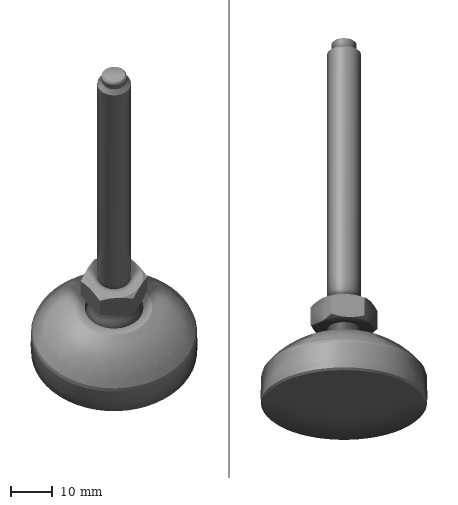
import cadquery as cq
import math


total_height = 96.2
pad_height = 2.5
wall_top = 7.2
dome_start = 8.1
base_height = 15.7
ball_top = 18.2
nut_bottom = 20.1
nut_height = 6.1
nut_top = nut_bottom + nut_height
neck_top = 28.3

base_radius = 40.0 / 2
wall_radius = 19.9
floor_chamfer = 0.5
dome_edge_radius = 19.6
dome_mid_radius = 15.5
dome_mid_height = 12.2
flat_radius = 18.3 / 2

ball_radius = 14.0 / 2
neck_radius = 8.0 / 2
rod_radius = 8.1 / 2
tip_radius = 6.0 / 2
tip_length = 1.9
tip_chamfer = 0.4
rod_chamfer_height = 1.1

nut_across_flats = 13.95
nut_corner_diameter = nut_across_flats / math.cos(math.pi / 6)
nut_face_radius = nut_across_flats / 2
nut_chamfer_angle = math.radians(30)

ball_center = ball_top - math.sqrt(ball_radius**2 - neck_radius**2)


def make_base():
    """Domed base whose wall swells slightly at the pad joint, with a round socket
    in the top that matches the ball diameter."""
    base = (
        cq.Workplane("XZ")
        .moveTo(0, 0)
        .lineTo(wall_radius - floor_chamfer, 0)
        .lineTo(wall_radius, floor_chamfer)
        .lineTo(base_radius, pad_height)
        .lineTo(wall_radius, wall_top)
        .lineTo(dome_edge_radius, dome_start)
        .threePointArc((dome_mid_radius, dome_mid_height), (flat_radius, base_height))
        .lineTo(0, base_height)
        .close()
        .revolve(360, (0, 0, 0), (0, 1, 0))
    )
    socket = (
        cq.Workplane("XY")
        .workplane(offset=ball_center)
        .circle(ball_radius)
        .extrude(base_height - ball_center)
    )
    return base.cut(socket)


def make_stud():
    """Ball, neck, rod and reduced tip in one revolved outline."""
    tip_bottom = total_height - tip_length
    rod_top = tip_bottom - rod_chamfer_height
    ball_side = ball_radius * math.sqrt(0.5)
    return (
        cq.Workplane("XZ")
        .moveTo(0, ball_center - ball_radius)
        .threePointArc((ball_side, ball_center - ball_side), (ball_radius, ball_center))
        .threePointArc((ball_side, ball_center + ball_side), (neck_radius, ball_top))
        .lineTo(neck_radius, neck_top)
        .lineTo(rod_radius, neck_top)
        .lineTo(rod_radius, rod_top)
        .lineTo(tip_radius, tip_bottom)
        .lineTo(tip_radius, total_height - tip_chamfer)
        .lineTo(tip_radius - tip_chamfer, total_height)
        .lineTo(0, total_height)
        .close()
        .revolve(360, (0, 0, 0), (0, 1, 0))
    )


def make_nut():
    """Hexagon with a corner along Y and its corners turned off by cones at both ends."""
    corner_radius = nut_corner_diameter / 2
    corner_drop = (corner_radius - nut_face_radius) * math.tan(nut_chamfer_angle)
    hexagon = (
        cq.Workplane("XY")
        .workplane(offset=nut_bottom)
        .transformed(rotate=(0, 0, 90))
        .polygon(6, nut_corner_diameter)
        .extrude(nut_height)
    )
    turned_blank = (
        cq.Workplane("XZ")
        .moveTo(0, nut_bottom)
        .lineTo(nut_face_radius, nut_bottom)
        .lineTo(corner_radius, nut_bottom + corner_drop)
        .lineTo(corner_radius, nut_top - corner_drop)
        .lineTo(nut_face_radius, nut_top)
        .lineTo(0, nut_top)
        .close()
        .revolve(360, (0, 0, 0), (0, 1, 0))
    )
    return hexagon.intersect(turned_blank)


result = make_base().union(make_stud()).union(make_nut())